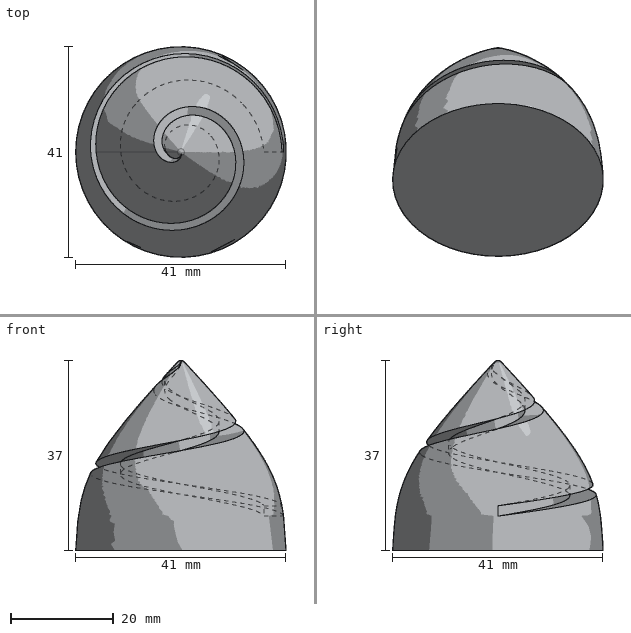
import cadquery as cq
import math

HEIGHT = 36.99
BASE_RADIUS = 20.5
TIP_BALL_RADIUS = 0.9
BASE_HANDLE = 13.57
BASE_LEAN = math.radians(2.61)
TIP_HANDLE = 26.22
TIP_LEAN = math.radians(42.9)

GROOVE_HEIGHT = 2.0
GROOVE_START_Z = 6.7
GROOVE_PITCH = 17.0
GROOVE_TURNS = 1.8
WALL_START_RADIUS = 16.15
WALL_CONE_ANGLE = 27.5
GROOVE_REACH = 8.0


def dome():
    """Solid of revolution about Z with a curved flank and a small rounded tip."""
    base_handle = (
        BASE_RADIUS - BASE_HANDLE * math.sin(BASE_LEAN),
        BASE_HANDLE * math.cos(BASE_LEAN),
    )
    ball_centre_z = HEIGHT - TIP_BALL_RADIUS
    flank_top = (
        TIP_BALL_RADIUS * math.cos(TIP_LEAN),
        ball_centre_z + TIP_BALL_RADIUS * math.sin(TIP_LEAN),
    )
    tip_handle = (
        flank_top[0] + TIP_HANDLE * math.sin(TIP_LEAN),
        flank_top[1] - TIP_HANDLE * math.cos(TIP_LEAN),
    )
    half_section = (
        cq.Workplane("XZ")
        .lineTo(BASE_RADIUS, 0)
        .bezier([(BASE_RADIUS, 0), base_handle, tip_handle, flank_top])
        .tangentArcPoint((0, HEIGHT), relative=False)
        .close()
    )
    return half_section.revolve(360, (0, 0), (0, 1)).rotate((0, 0, 0), (0, 0, 1), 180)


def conical_helix(start_radius, start_z):
    """One edge of the groove cutter; the helix narrows as it climbs."""
    slant = math.cos(math.radians(WALL_CONE_ANGLE))
    return cq.Wire.makeHelix(
        GROOVE_PITCH / slant,
        GROOVE_PITCH * GROOVE_TURNS / slant,
        start_radius,
        center=cq.Vector(0, 0, start_z),
        angle=-WALL_CONE_ANGLE,
    ).Edges()[0]


def spiral_groove():
    """Cutter with a level rectangular section that climbs the conical helix."""
    outer_radius = WALL_START_RADIUS + GROOVE_REACH
    ceiling_start_z = GROOVE_START_Z + GROOVE_HEIGHT
    edges = [
        conical_helix(WALL_START_RADIUS, GROOVE_START_Z),
        conical_helix(outer_radius, GROOVE_START_Z),
        conical_helix(outer_radius, ceiling_start_z),
        conical_helix(WALL_START_RADIUS, ceiling_start_z),
    ]
    next_edges = edges[1:] + edges[:1]
    sides = [cq.Face.makeRuledSurface(edge, other) for edge, other in zip(edges, next_edges)]
    start_corners = [edge.startPoint() for edge in edges]
    end_corners = [edge.endPoint() for edge in edges]
    ends = [
        cq.Face.makeFromWires(cq.Wire.makePolygon(corners, close=True))
        for corners in (start_corners, end_corners)
    ]
    return cq.Solid.makeSolid(cq.Shell.makeShell(sides + ends))


result = dome().cut(spiral_groove())